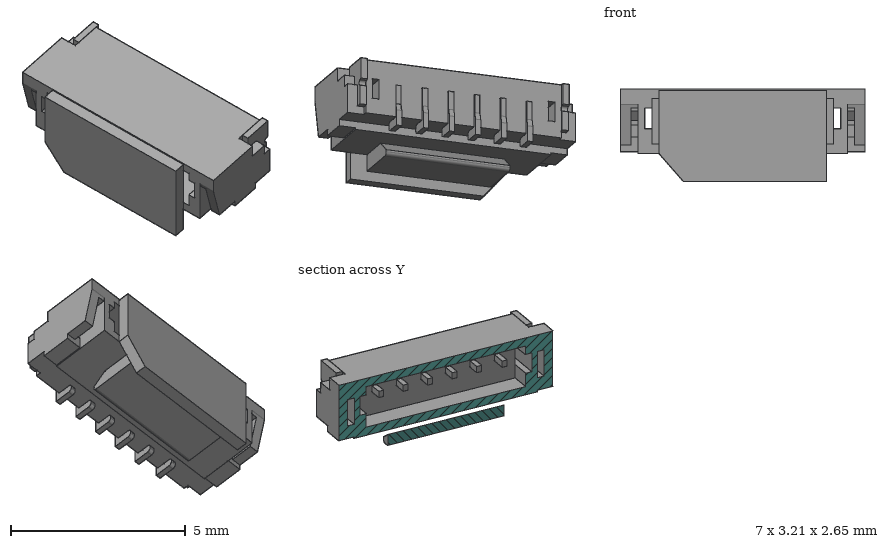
import cadquery as cq


housing_half_width = 3.5
housing_front = -2.86
housing_back = -0.12
body_half_width = 3.0
body_bottom = -1.85
rear_bottom = -1.61
rear_step = -0.93

ear_wall = 0.3
ear_back = -0.275
foot_front = -1.87
foot_bottom = -1.8
slope_top = -0.44
slope_run = 0.28

top_notch_front = -1.07
top_notch_floor = -0.4
rear_notch_front = -0.525
rear_notch_floor = -0.74

cavity_half_width = 2.6
cavity_top = -0.28
cavity_bottom = -1.57
cavity_back = -1.0
window_width = 0.2
window_top = -0.55
window_bottom = -1.14

nail_inner = body_half_width
nail_outer = housing_half_width - ear_wall
nail_front = -0.91
nail_bottom = -1.38
nail_slot_top = -0.55
nail_step_back = -0.063
nail_slope_top = -0.63
nail_slope_bottom = -0.91
nail_slope_run = 0.2
nail_arm_top = -1.03
nail_arm_front = -1.2
nail_notch_lead = -0.62
nail_notch_top = -0.65
nail_notch_bottom = -0.81
nail_notch_depth = 0.145

contact_count = 6
contact_pitch = 0.8
contact_width = 0.16
contact_riser_back = -0.063
contact_riser_front = -0.3
contact_top = -0.65
contact_beam_bottom = -0.85
contact_beam_front = -1.4
contact_slope_top = -1.2
contact_slope_bottom = -1.42
contact_foot_front = -0.61
contact_foot_bottom = -1.88
contact_foot_radius = 0.1
last_contact_shift = -0.063

slider_front = -3.21
slider_half_width = 2.4
slider_top = -0.04
slider_bottom = -2.65
slider_corner_width = 0.7
slider_corner_height = 0.8
tongue_half_width = 1.9
tongue_bottom = -2.35
tongue_end = -1.34
tongue_taper_start = -1.78
tongue_taper_height = 0.34
tongue_radius = 0.1


def box(x_range, y_range, z_range):
    """Axis-aligned block between the given limits."""
    sizes = [high - low for low, high in (x_range, y_range, z_range)]
    corner = (x_range[0], y_range[0], z_range[0])
    return cq.Workplane("XY").box(*sizes, centered=False).translate(corner)


def extrude_across(profile, x_start, x_end):
    """Extrude a closed Y-Z profile from x_start to x_end."""
    return profile.extrude(x_end - x_start).translate((x_start, 0, 0))


def mirrored(solid):
    return solid.mirror("YZ")


def make_nail():
    """Right-hand solder nail, a flat stamped plate."""
    notch_middle = (nail_notch_top + nail_notch_bottom) / 2
    profile = (
        cq.Workplane("YZ")
        .moveTo(nail_front, 0)
        .lineTo(0, 0)
        .lineTo(0, nail_notch_lead)
        .lineTo(nail_step_back, nail_notch_top)
        .threePointArc((-nail_notch_depth, notch_middle), (nail_step_back, nail_notch_bottom))
        .lineTo(nail_step_back, nail_bottom)
        .lineTo(nail_arm_front, nail_bottom)
        .lineTo(nail_arm_front, nail_arm_top)
        .lineTo(nail_front + nail_slope_run, nail_arm_top)
        .lineTo(nail_front + nail_slope_run, nail_slope_bottom)
        .lineTo(nail_front, nail_slope_top)
        .close()
    )
    return extrude_across(profile, nail_inner, nail_outer)


def make_contact(x_center, y_shift):
    """Contact with a rounded solder foot, a riser and a beam reaching into the cavity."""
    profile = (
        cq.Workplane("YZ")
        .moveTo(contact_beam_front, contact_top)
        .lineTo(contact_riser_back, contact_top)
        .lineTo(contact_riser_back, contact_slope_top)
        .lineTo(0, contact_slope_bottom)
        .lineTo(0, contact_foot_bottom)
        .lineTo(contact_foot_front, contact_foot_bottom)
        .lineTo(contact_foot_front, rear_bottom)
        .lineTo(contact_riser_front, rear_bottom)
        .lineTo(contact_riser_front, contact_beam_bottom)
        .lineTo(contact_beam_front, contact_beam_bottom)
        .close()
    )
    half_width = contact_width / 2
    contact = extrude_across(profile, -half_width, half_width)
    foot_tip = cq.selectors.BoxSelector(
        (-half_width, contact_foot_front - contact_foot_radius, contact_foot_bottom - contact_foot_radius),
        (half_width, contact_foot_front + contact_foot_radius, rear_bottom + contact_foot_radius),
    )
    contact = contact.edges("|X").edges(foot_tip).fillet(contact_foot_radius)
    return contact.translate((x_center, y_shift, 0))


def make_slider():
    """Front plate with one cut corner and a tapered tongue below the housing."""
    plate = (
        cq.Workplane("XZ", origin=(0, housing_front, 0))
        .moveTo(-slider_half_width, slider_top)
        .lineTo(slider_half_width, slider_top)
        .lineTo(slider_half_width, slider_bottom)
        .lineTo(-slider_half_width + slider_corner_width, slider_bottom)
        .lineTo(-slider_half_width, slider_bottom + slider_corner_height)
        .close()
        .extrude(housing_front - slider_front)
    )
    tongue_profile = (
        cq.Workplane("YZ")
        .moveTo(housing_front, body_bottom)
        .lineTo(tongue_taper_start, body_bottom)
        .lineTo(tongue_end, body_bottom - tongue_taper_height)
        .lineTo(tongue_end, tongue_bottom)
        .lineTo(housing_front, tongue_bottom)
        .close()
    )
    tongue = extrude_across(tongue_profile, -tongue_half_width, tongue_half_width)
    tongue = tongue.edges("|X").edges(">Y and <Z").fillet(tongue_radius)
    return plate.union(tongue)


def make_ear():
    """Right-hand ear: stepped outer wall, leaning front, foot and nail slot."""
    profile = (
        cq.Workplane("YZ")
        .moveTo(housing_front, 0)
        .lineTo(top_notch_front, 0)
        .lineTo(top_notch_front, top_notch_floor)
        .lineTo(rear_notch_front, top_notch_floor)
        .lineTo(rear_notch_front, rear_notch_floor)
        .lineTo(ear_back, rear_notch_floor)
        .lineTo(ear_back, rear_bottom)
        .lineTo(rear_step, rear_bottom)
        .lineTo(rear_step, foot_bottom)
        .lineTo(foot_front, foot_bottom)
        .lineTo(foot_front, rear_bottom)
        .lineTo(housing_front + slope_run, rear_bottom)
        .lineTo(housing_front, slope_top)
        .close()
    )
    ear = extrude_across(profile, body_half_width, housing_half_width)
    slot_x = (nail_inner, nail_outer)
    slot = box(slot_x, (housing_front, 0), (nail_bottom, nail_slot_top))
    front_slot = box(slot_x, (housing_front, foot_front), (body_bottom, nail_slot_top))
    rear_slot = box(slot_x, (nail_front, 0), (nail_bottom, 0))
    return ear.cut(slot).cut(front_slot).cut(rear_slot)


def make_housing(contacts):
    """Housing with the front cavity, side windows, ears and matching contact holes."""
    profile = (
        cq.Workplane("YZ")
        .moveTo(housing_front, 0)
        .lineTo(housing_back, 0)
        .lineTo(housing_back, rear_bottom)
        .lineTo(rear_step, rear_bottom)
        .lineTo(rear_step, body_bottom)
        .lineTo(housing_front, body_bottom)
        .close()
    )
    body = extrude_across(profile, -body_half_width, body_half_width)
    cavity = box(
        (-cavity_half_width, cavity_half_width),
        (housing_front, cavity_back),
        (cavity_bottom, cavity_top),
    )
    window = box(
        (cavity_half_width, cavity_half_width + window_width),
        (housing_front, housing_back),
        (window_bottom, window_top),
    )
    body = body.cut(cavity).cut(window).cut(mirrored(window))
    ear = make_ear()
    housing = body.union(ear).union(mirrored(ear))
    for contact in contacts:
        housing = housing.cut(contact)
    return housing


contacts = []
for index in range(contact_count):
    x_center = (index - (contact_count - 1) / 2) * contact_pitch
    y_shift = last_contact_shift if index == contact_count - 1 else 0
    contacts.append(make_contact(x_center, y_shift))

right_nail = make_nail()
nails = [right_nail, mirrored(right_nail)]
slider = make_slider()
housing = make_housing(contacts)

result = cq.Compound.makeCompound(
    [housing.val(), slider.val()]
    + [nail.val() for nail in nails]
    + [contact.val() for contact in contacts]
)